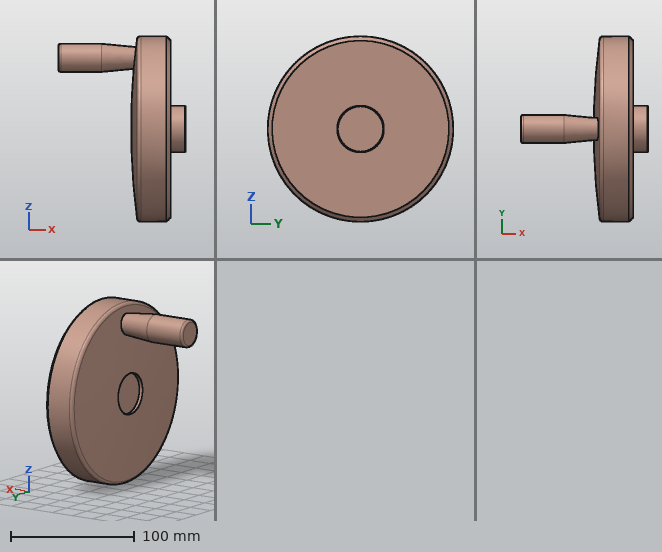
import cadquery as cq

total_length = 102.8

wheel_radius = 75.0
dome_apex_x = 58.6
dome_height = 5.1
rim_start_x = dome_apex_x + dome_height
back_x = 90.9
rim_fillet = 3.0
back_chamfer = 3.6

hub_radius = 38.0 / 2
hub_chamfer = 0.8
recess_radius = 34.0 / 2
recess_floor_x = 62.1

grip_offset = 57.5
grip_radius = 23.0 / 2
grip_cylinder_length = 34.8
grip_base_radius = 8.7
grip_tip_fillet = 2.0
grip_embed = 3.0


def x_cylinder(radius, start_x, end_x):
    """Cylinder along the wheel axis between two X positions."""
    return cq.Workplane("YZ").workplane(offset=start_x).circle(radius).extrude(end_x - start_x)


def make_wheel():
    """Solid disc with a spherical front, rounded front rim and chamfered back rim."""
    dome_radius = (wheel_radius**2 + dome_height**2) / (2 * dome_height)
    mid_radius = wheel_radius / 2
    mid_x = dome_apex_x + dome_radius - (dome_radius**2 - mid_radius**2) ** 0.5
    disc = (
        cq.Workplane("XZ")
        .moveTo(dome_apex_x, 0)
        .threePointArc((mid_x, mid_radius), (rim_start_x, wheel_radius))
        .lineTo(back_x, wheel_radius)
        .lineTo(back_x, 0)
        .close()
        .revolve(360, (0, 0, 0), (1, 0, 0))
    )
    disc = disc.faces(">X").edges().chamfer(back_chamfer)
    front_rim = cq.selectors.BoxSelector(
        (rim_start_x - 0.2, -wheel_radius - 1.5, -wheel_radius - 1.5),
        (rim_start_x + 0.2, wheel_radius + 1.5, wheel_radius + 1.5),
    )
    return disc.edges("%CIRCLE").edges(front_rim).fillet(rim_fillet)


def make_hub():
    """Plain boss on the back, with a small chamfer at its free end."""
    return x_cylinder(hub_radius, back_x, total_length).faces(">X").chamfer(hub_chamfer)


def make_grip():
    """Cylindrical grip with a rounded tip, tapering down into the wheel face."""
    profile = (
        cq.Workplane("XZ")
        .moveTo(0, 0)
        .lineTo(0, grip_radius)
        .lineTo(grip_cylinder_length, grip_radius)
        .lineTo(rim_start_x, grip_base_radius)
        .lineTo(rim_start_x + grip_embed, grip_base_radius)
        .lineTo(rim_start_x + grip_embed, 0)
        .close()
    )
    grip = profile.revolve(360, (0, 0, 0), (1, 0, 0))
    return grip.faces("<X").edges().fillet(grip_tip_fillet).translate((0, 0, grip_offset))


recess = x_cylinder(recess_radius, 0, recess_floor_x)
result = make_wheel().union(make_hub()).cut(recess).union(make_grip())